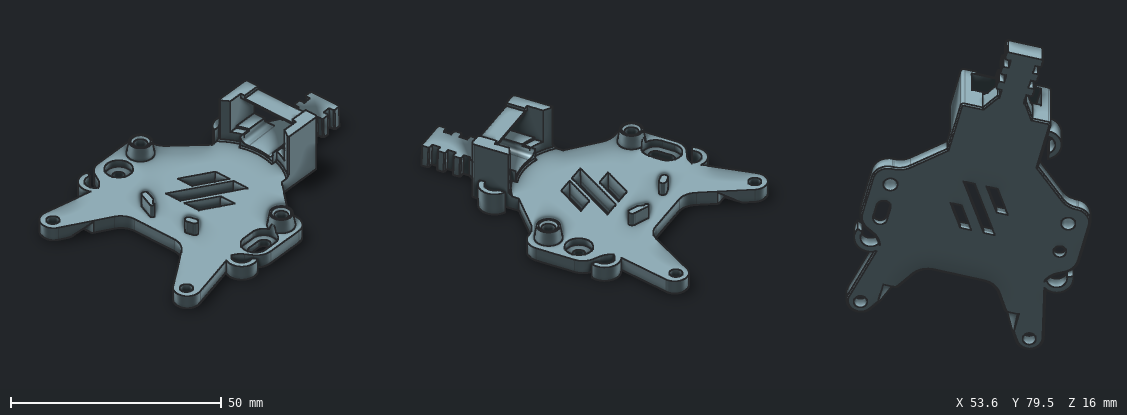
import cadquery as cq
import math

plate_thickness = 4.0
bottom_chamfer = 0.4
half_width = 26.82
corner_radius = 4.0
shoulder_radius = 5.6
crotch_radius = 5.0
overall_length = 79.45
leg_tip_y = -3.1
tongue_tip_y = overall_length + leg_tip_y
shoulder_y = 38.2
shoulder_x = 20.35
neck_half_width = 10.3
neck_y = 47.35
crotch_x = 9.0
crotch_y = 12.8

leg_hole_x = 20.7
leg_hole_diameter = 3.2
leg_tip_radius = 3.4
relief_wall_y = 6.0
relief_height = 3.65
relief_length = 5.4
relief_inner_x = 11.9
relief_outer_x = 16.7

mount_offset_x = 0.2
mount_half_spacing = 21.85
boss_y = 33.5
boss_top_z = 7.5
boss_base_diameter = 6.8
boss_top_diameter = 5.6
boss_hole_diameter = 3.4
boss_mouth_diameter = 4.7
mount_y = 25.4
mount_hole_diameter = 3.0
counterbore_diameter = 6.8
counterbore_depth = 2.0
slot_width = 3.4
slot_travel = 3.25

hook_outer_radius = 4.0
hook_inner_radius = 2.5
side_hook_x = half_width - hook_outer_radius
side_hook_y = 17.95
side_hook_start_angle = 156
side_hook_end_angle = 330
rear_hook_y = 53.4
rear_hook_height = 5.95
rear_hook_cut_offset = 1.6

windows = [(-3.3, 39.4, 31.55), (2.3, 39.4, 25.3), (3.8, 32.8, 25.3)]
window_width = 4.45
window_lean = 0.65
window_inset = 0.7
window_lip = 1.35

key_top_z = boss_top_z
straight_key_x = 7.55
straight_key_y = 17.65
straight_key_length = 3.4
straight_key_width = 1.8
straight_key_angle = 14

holder_x = 0.3
holder_width = 22.2
holder_top_z = 16.0
holder_rear_y = 59.7
wall_thickness = 2.55
rear_corner_radius = 0.8
front_edge_chamfer = 0.55
bridge_bottom_z = 14.7
bridge_top_z = 15.1
bridge_depth = 5.0
tab_length = 1.2
bed_top_z = 7.3
bed_step_z = 6.75

clearance_y = 35.3
clearance_radius = 17.6
channel_clearance_radius = 16.2
step_clearance_radius = 19.5
clearance_chamfer = 0.4

tongue_tilt = 2.2
tongue_half_width = 2.98
channel_half_width = 5.1
channel_length = 31.8
tongue_tip_z = 5.95
tooth_half_width = 4.49
tooth_length = 2.15
tooth_pitch = 4.2
tooth_count = 3
tooth_corner = 0.3
flare_tip_y = 63.8
flare_half_width = 6.1
flare_tip_half_width = 3.5
flare_ramp_y = 60.8

margin = 1.6

holder_left = holder_x - holder_width / 2
holder_right = holder_x + holder_width / 2
bridge_front_y = holder_rear_y - bridge_depth
channel_radius = channel_half_width - tongue_half_width
left_mount_x = mount_offset_x - mount_half_spacing
right_mount_x = mount_offset_x + mount_half_spacing


def block(x_min, x_max, y_min, y_max, z_min, z_max):
    size = (x_max - x_min, y_max - y_min, z_max - z_min)
    return cq.Workplane("XY").box(*size, centered=False).translate((x_min, y_min, z_min))


def disc(x, y, radius, z_min, z_max):
    return cq.Workplane("XY", origin=(x, y, z_min)).circle(radius).extrude(z_max - z_min)


def both_sides(shape):
    return shape.union(shape.mirror("YZ"))


def fillet_upright(shape, corner, radius):
    nearest = cq.selectors.NearestToPointSelector((*corner, plate_thickness / 2))
    return shape.edges("|Z").edges(nearest).fillet(radius)


def tangent_point(start, center, radius, side):
    """Point where a line from start touches a circle; side is 1 or -1 for the two solutions."""
    dx = start[0] - center[0]
    dy = start[1] - center[1]
    angle = math.atan2(dy, dx) + side * math.acos(radius / math.hypot(dx, dy))
    return (center[0] + radius * math.cos(angle), center[1] + radius * math.sin(angle))


def flare_outline():
    points = [
        (-flare_half_width, holder_rear_y),
        (-flare_tip_half_width, flare_tip_y),
        (flare_tip_half_width, flare_tip_y),
        (flare_half_width, holder_rear_y),
        (flare_half_width, bridge_front_y),
        (-flare_half_width, bridge_front_y),
    ]
    return cq.Workplane("XY").polyline(points).close()


def make_plate():
    crotch = (crotch_x, crotch_y)
    shoulder = (shoulder_x, shoulder_y)
    corner = (half_width, shoulder_y)
    armpit = (20.6, 16.5)
    tip_center = (leg_hole_x, leg_tip_y + leg_tip_radius)
    half = (
        cq.Workplane("XY")
        .moveTo(0, neck_y)
        .lineTo(neck_half_width, neck_y)
        .lineTo(*shoulder)
        .lineTo(*corner)
        .lineTo(half_width, 24.0)
        .tangentArcPoint((24.55, 20.1), relative=False)
        .lineTo(22.7, 19.1)
        .tangentArcPoint(armpit, relative=False)
        .lineTo(*tangent_point(armpit, tip_center, leg_tip_radius, -1))
        .threePointArc((leg_hole_x, leg_tip_y), tangent_point(crotch, tip_center, leg_tip_radius, 1))
        .lineTo(*crotch)
        .lineTo(0, crotch_y)
        .close()
        .extrude(plate_thickness)
    )
    half = fillet_upright(half, crotch, crotch_radius)
    half = fillet_upright(half, corner, corner_radius)
    half = fillet_upright(half, shoulder, shoulder_radius)
    plate = both_sides(half)
    neck = block(holder_left, holder_right, shoulder_y, holder_rear_y, 0, plate_thickness)
    neck = neck.edges("|Z and >Y").fillet(rear_corner_radius)
    plate = plate.union(neck).union(flare_outline().extrude(plate_thickness)).clean()
    return plate.faces("<Z").edges().chamfer(bottom_chamfer)


def make_side_hook():
    def at(radius, angle):
        turn = math.radians(angle)
        return (-side_hook_x + radius * math.cos(turn), side_hook_y + radius * math.sin(turn))

    middle_angle = (side_hook_start_angle + side_hook_end_angle) / 2
    return (
        cq.Workplane("XY")
        .moveTo(*at(hook_inner_radius, side_hook_start_angle))
        .lineTo(*at(hook_outer_radius, side_hook_start_angle))
        .threePointArc(at(hook_outer_radius, middle_angle), at(hook_outer_radius, side_hook_end_angle))
        .lineTo(*at(hook_inner_radius, side_hook_end_angle))
        .threePointArc(at(hook_inner_radius, middle_angle), at(hook_inner_radius, side_hook_start_angle))
        .close()
        .extrude(plate_thickness)
    )


def make_rear_hook():
    front_y = rear_hook_y - hook_outer_radius
    rear_y = rear_hook_y + hook_outer_radius
    ring = disc(holder_left, rear_hook_y, hook_outer_radius, 0, rear_hook_height)
    ring = ring.cut(disc(holder_left, rear_hook_y, hook_inner_radius, 0, rear_hook_height))
    left_half = block(holder_left - hook_outer_radius, holder_left, front_y, rear_y, 0, rear_hook_height)
    opening_left = holder_left - rear_hook_cut_offset
    opening = block(opening_left, holder_left, front_y, rear_hook_y, 0, rear_hook_height)
    return ring.intersect(left_half).cut(opening)


def make_boss(x):
    return (
        cq.Workplane("XY", origin=(x, boss_y, plate_thickness))
        .circle(boss_base_diameter / 2)
        .workplane(offset=boss_top_z - plate_thickness)
        .circle(boss_top_diameter / 2)
        .loft()
    )


def make_boss_hole(x):
    hole = disc(x, boss_y, boss_hole_diameter / 2, 0, boss_top_z)
    mouth_depth = (boss_mouth_diameter - boss_hole_diameter) / 2
    mouth = (
        cq.Workplane("XY", origin=(x, boss_y, boss_top_z - mouth_depth))
        .circle(boss_hole_diameter / 2)
        .workplane(offset=mouth_depth)
        .circle(boss_mouth_diameter / 2)
        .loft()
    )
    return hole.union(mouth)


def make_round_mount(x):
    floor_z = plate_thickness - counterbore_depth
    hole = disc(x, mount_y, mount_hole_diameter / 2, 0, plate_thickness)
    return hole.union(disc(x, mount_y, counterbore_diameter / 2, floor_z, plate_thickness))


def make_slotted_mount(x):
    def slot(width, z_min, z_max):
        plane = cq.Workplane("XY", origin=(x, mount_y, z_min))
        return plane.slot2D(slot_travel + width, width, 90).extrude(z_max - z_min)

    floor_z = plate_thickness - counterbore_depth
    return slot(slot_width, 0, floor_z).union(slot(counterbore_diameter, floor_z, boss_top_z))


def make_window(top_left_x, top_y, bottom_y):
    bottom_left_x = top_left_x - window_lean * (top_y - bottom_y)
    depth = plate_thickness - window_lip
    taper = math.degrees(math.atan(window_inset / depth))
    points = [
        (top_left_x, top_y),
        (top_left_x + window_width, top_y),
        (bottom_left_x + window_width, bottom_y),
        (bottom_left_x, bottom_y),
    ]
    plane = cq.Workplane("XY", origin=(0, 0, plate_thickness))
    funnel = plane.polyline(points).close().extrude(-depth, taper=taper)
    lip = funnel.faces("<Z").wires().toPending().workplane().extrude(window_lip)
    return funnel.union(lip)


def make_leg_relief():
    ramp = [
        (relief_wall_y, 0),
        (relief_wall_y, relief_height),
        (relief_wall_y - relief_length, 0),
    ]
    plane = cq.Workplane("YZ", origin=(relief_inner_x, 0, 0))
    return plane.polyline(ramp).close().extrude(relief_outer_x - relief_inner_x)


def make_keys():
    height = key_top_z - plate_thickness
    plane = cq.Workplane("XY", origin=(0, 0, plate_thickness))
    bent_key = (
        plane.moveTo(-7.5, 19.3)
        .lineTo(-4.85, 18.2)
        .lineTo(-4.05, 17.0)
        .lineTo(-3.2, 16.85)
        .threePointArc((-3.25, 16.1), (-3.9, 15.9))
        .lineTo(-7.6, 17.5)
        .threePointArc((-8.35, 18.7), (-7.5, 19.3))
        .close()
        .extrude(height)
    )
    straight_key = (
        plane.center(straight_key_x, straight_key_y)
        .transformed(rotate=(0, 0, straight_key_angle))
        .slot2D(straight_key_length, straight_key_width)
        .extrude(height)
    )
    return bent_key.union(straight_key)


def make_clearance(radius, z_min):
    column = disc(0, clearance_y, radius, z_min, holder_top_z)
    return column.faces("<Z").edges().chamfer(clearance_chamfer)


def make_holder():
    front_y = clearance_y
    inner_left = holder_left + wall_thickness
    inner_right = holder_right - wall_thickness

    holder = block(holder_left, holder_right, front_y, holder_rear_y, bottom_chamfer, holder_top_z)
    holder = holder.edges("|Z and >Y").fillet(rear_corner_radius)
    holder = holder.cut(block(inner_left, inner_right, front_y, holder_rear_y, bed_top_z, holder_top_z))

    bridge = block(inner_left, inner_right, bridge_front_y, holder_rear_y, bridge_bottom_z, holder_top_z)
    gap = block(
        inner_left + tab_length,
        inner_right - tab_length,
        bridge_front_y,
        holder_rear_y,
        bridge_top_z,
        holder_top_z,
    )
    holder = holder.union(bridge.cut(gap))

    tray = block(-channel_half_width, channel_half_width, front_y, holder_rear_y, 0, bed_top_z)
    tray = tray.cut(make_clearance(channel_clearance_radius, plate_thickness))
    step = disc(0, clearance_y, step_clearance_radius, bed_step_z, bed_top_z)
    step = step.intersect(block(inner_left, inner_right, front_y, holder_rear_y, 0, bed_top_z))
    holder = holder.cut(step).cut(make_clearance(clearance_radius, plate_thickness))
    holder = holder.cut(block(holder_left, holder_right, front_y, neck_y, plate_thickness, holder_top_z))

    for x in (holder_left, holder_right):
        wall_front_y = clearance_y + math.sqrt(clearance_radius**2 - x**2)
        middle_z = (plate_thickness + holder_top_z) / 2
        nearest = cq.selectors.NearestToPointSelector((x, wall_front_y, middle_z))
        holder = holder.edges("|Z").edges(nearest).chamfer(front_edge_chamfer)
    return holder.union(tray)


def tilt(shape):
    return shape.rotate((0, tongue_tip_y, 0), (1, tongue_tip_y, 0), tongue_tilt)


def tongue_top_z(y):
    angle = math.radians(tongue_tilt)
    return (tongue_tip_z + (y - tongue_tip_y) * math.sin(angle)) / math.cos(angle)


def make_channel_cut():
    top_z = 2 * bed_top_z
    rim_z = tongue_tip_z + channel_radius
    profile = (
        cq.Workplane("XZ", origin=(0, tongue_tip_y + 0.8, 0))
        .moveTo(-tongue_half_width, tongue_tip_z)
        .lineTo(tongue_half_width, tongue_tip_z)
        .radiusArc((channel_half_width, rim_z), -channel_radius)
        .lineTo(channel_half_width, top_z)
        .lineTo(-channel_half_width, top_z)
        .lineTo(-channel_half_width, rim_z)
        .radiusArc((-tongue_half_width, tongue_tip_z), -channel_radius)
        .close()
    )
    below_bridge = block(
        -flare_half_width,
        flare_half_width,
        shoulder_y,
        tongue_tip_y + margin,
        0,
        bridge_bottom_z,
    )
    return tilt(profile.extrude(channel_length)).intersect(below_bridge)


def make_tongue():
    def bar(half_bar_width, front_y, rear_y):
        return block(-half_bar_width, half_bar_width, front_y, rear_y, -margin, tongue_tip_z)

    tongue = bar(tongue_half_width, bridge_front_y, tongue_tip_y)
    for index in range(tooth_count):
        tooth_rear_y = tongue_tip_y - index * tooth_pitch
        tooth = bar(tooth_half_width, tooth_rear_y - tooth_length, tooth_rear_y)
        tongue = tongue.union(tooth.edges("|Z").chamfer(tooth_corner))
    below_plate = block(
        -flare_half_width,
        flare_half_width,
        bridge_front_y - margin,
        tongue_tip_y + margin,
        -3 * margin,
        0,
    )
    return tilt(tongue).cut(below_plate)


def make_flare():
    ramp_low_z = tongue_top_z(flare_ramp_y)
    ramp_high_z = ramp_low_z + flare_ramp_y - holder_rear_y
    ramp = [
        (bridge_front_y, bottom_chamfer),
        (flare_tip_y, bottom_chamfer),
        (flare_tip_y, tongue_top_z(flare_tip_y)),
        (flare_ramp_y, ramp_low_z),
        (holder_rear_y, ramp_high_z),
        (bridge_front_y, ramp_high_z),
    ]
    plane = cq.Workplane("YZ", origin=(-flare_half_width, 0, 0))
    side_profile = plane.polyline(ramp).close().extrude(2 * flare_half_width)
    return flare_outline().extrude(bed_top_z).intersect(side_profile)


result = make_plate()
result = result.union(both_sides(make_side_hook()))
result = result.union(make_holder()).union(make_flare()).cut(make_channel_cut())
result = result.union(make_tongue()).union(make_rear_hook()).union(make_keys())
for mount_x in (left_mount_x, right_mount_x):
    result = result.union(make_boss(mount_x)).cut(make_boss_hole(mount_x))
result = result.cut(make_round_mount(left_mount_x)).cut(make_slotted_mount(right_mount_x))
for window in windows:
    result = result.cut(make_window(*window))
for side in (-1, 1):
    result = result.cut(disc(side * leg_hole_x, 0, leg_hole_diameter / 2, 0, plate_thickness))
result = result.cut(both_sides(make_leg_relief()))